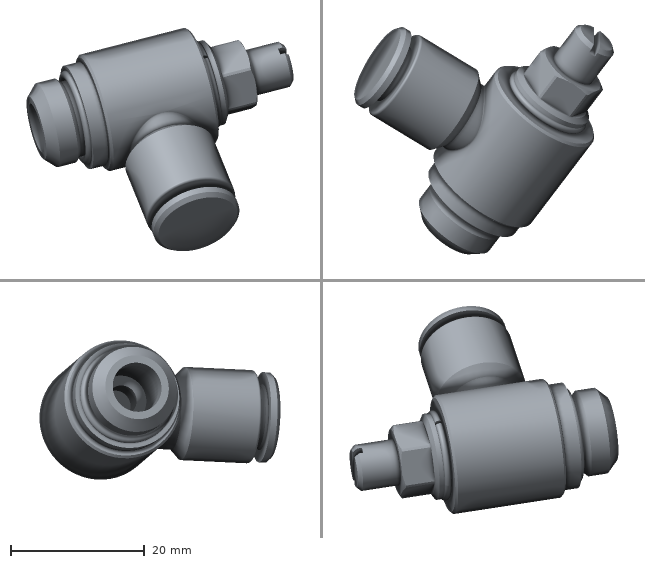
import cadquery as cq
import math


sleeve_radius = 18.0 / 2
sleeve_half_length = 8.5
sleeve_chamfer = 0.35

branch_neck_radius = 11.0 / 2
branch_radius = 14.0 / 2
branch_cone_start = 9.6
branch_cone_end = branch_cone_start + branch_radius - branch_neck_radius
branch_end = 21.65
branch_rim = 0.35
neck_root_fillet = 0.2

collet_neck_radius = 9.3 / 2
collet_cone_start = 22.8
collet_cone_length = 0.3
collet_flange_radius = 13.5 / 2
collet_flange_start = collet_cone_start + collet_cone_length
collet_end = 24.7
collet_chamfer = 0.6

thread_radius = 13.0 / 2
thread_neck_radius = 11.6 / 2
flange_radius = 16.0 / 2
step_radius = 15.65 / 2
shank_radius = 13.05 / 2
ring_groove_radius = 11.95 / 2

bolt_length = 39.5
bolt_bottom = -17.4
tip_chamfer = 1.62
thread_top = -12.92
thread_neck_bottom = thread_top - thread_neck_radius + thread_radius
flange_bottom = -11.02
flange_top = -8.7
collar_bottom = 9.68
hex_bottom = 11.0
hex_top = 15.75
stem_top = bolt_bottom + bolt_length

o_ring_outer_radius = 7.27
o_ring_thickness = o_ring_outer_radius - thread_neck_radius
o_ring_mean_radius = thread_neck_radius + o_ring_thickness / 2

snap_ring_outer_radius = 6.85
snap_ring_thickness = 1.15
snap_ring_mean_radius = snap_ring_outer_radius - snap_ring_thickness / 2
snap_ring_center = (sleeve_half_length + collar_bottom) / 2
snap_ring_gap = 0.55

hex_across_flats = 9.95
hex_corner_radius = 11.25 / 2
hex_top_chamfer = 0.35
collar_chamfer = 0.55

stem_radius = 7.0 / 2
stem_chamfer = 0.65
slot_width = 1.1
slot_depth = 1.35

bore_radius = 7.5 / 2
bore_depth = 9.88
inner_bore_radius = 4.5 / 2
inner_bore_depth = 3.95


def y_cylinder(radius, start, end):
    """Solid cylinder on the Y axis between two Y positions."""
    return cq.Workplane("XZ", origin=(0, end, 0)).circle(radius).extrude(end - start)


def y_ring(mean_radius, thickness, center):
    """Round-section ring about the Y axis."""
    section = cq.Workplane("XY").center(-mean_radius, center).circle(thickness / 2)
    return section.revolve(360, (mean_radius, 0, 0), (mean_radius, 1, 0))


def turned_about_y(points):
    """Solid of revolution from (radius, y) points."""
    return cq.Workplane("XY").polyline(points).close().revolve(360, (0, 0, 0), (0, 1, 0))


def turned_about_x(points):
    """Solid of revolution from (x, radius) points."""
    return cq.Workplane("XY").polyline(points).close().revolve(360, (0, 0, 0), (1, 0, 0))


def make_branch():
    """Necked branch with its rounded rim."""
    branch = turned_about_x([
        (0, 0),
        (0, branch_neck_radius),
        (branch_cone_start, branch_neck_radius),
        (branch_cone_end, branch_radius),
        (branch_end, branch_radius),
        (branch_end, 0),
    ])
    return branch.faces(">X").edges().fillet(branch_rim)


def make_collet():
    """Release collet standing out of the branch mouth."""
    return turned_about_x([
        (branch_end, 0),
        (branch_end, collet_neck_radius),
        (collet_cone_start, collet_neck_radius),
        (collet_flange_start, collet_neck_radius + collet_cone_length),
        (collet_flange_start, collet_flange_radius),
        (collet_end - collet_chamfer, collet_flange_radius),
        (collet_end, collet_flange_radius - collet_chamfer),
        (collet_end, 0),
    ])


def make_banjo():
    """Sleeve, branch and collet, bored through for the bolt shank."""
    sleeve = y_cylinder(sleeve_radius, -sleeve_half_length, sleeve_half_length)
    sleeve = sleeve.faces("<Y or >Y").edges().chamfer(sleeve_chamfer)
    banjo = sleeve.union(make_branch())
    reach = (branch_neck_radius + branch_radius) / 2
    neck_root = cq.selectors.BoxSelector(
        (0, -reach, -reach),
        ((sleeve_radius + branch_cone_start) / 2, reach, reach),
        boundingbox=True,
    )
    banjo = banjo.edges(neck_root).fillet(neck_root_fillet)
    banjo = banjo.union(make_collet())
    return banjo.cut(y_cylinder(shank_radius, -sleeve_half_length, sleeve_half_length))


def make_hexagon():
    """Hexagon with turned corners and a chamfered top, flats facing +Z and -Z."""
    height = hex_top - hex_bottom
    hexagon = (
        cq.Workplane("XZ", origin=(0, hex_top, 0))
        .polygon(6, hex_across_flats / math.cos(math.pi / 6))
        .extrude(height)
    )
    envelope = y_cylinder(hex_corner_radius, hex_bottom, hex_top)
    top_land_radius = hex_across_flats / 2
    envelope = envelope.faces(">Y").edges().chamfer(hex_top_chamfer, hex_corner_radius - top_land_radius)
    return hexagon.intersect(envelope)


def make_stem():
    """Adjusting stem with a screwdriver slot across its end."""
    stem = y_cylinder(stem_radius, hex_top, stem_top).faces(">Y").edges().chamfer(stem_chamfer)
    slot = cq.Workplane("XY").box(slot_width, 2 * slot_depth, 2 * stem_radius)
    return stem.cut(slot.translate((0, stem_top, 0)))


def make_snap_ring():
    """Snap ring with its gap facing +Z."""
    ring = y_ring(snap_ring_mean_radius, snap_ring_thickness, snap_ring_center)
    gap = cq.Workplane("XY").box(
        snap_ring_gap, 2 * snap_ring_thickness, snap_ring_outer_radius, centered=(True, True, False)
    )
    return ring.cut(gap.translate((0, snap_ring_center, 0)))


def make_bolt():
    """Hollow bolt with thread, flange, rings, collar, hexagon and stem."""
    bolt = turned_about_y([
        (0, bolt_bottom),
        (thread_radius - tip_chamfer, bolt_bottom),
        (thread_radius, bolt_bottom + tip_chamfer),
        (thread_radius, thread_top),
        (thread_neck_radius, thread_neck_bottom),
        (thread_neck_radius, flange_bottom),
        (flange_radius, flange_bottom),
        (flange_radius, flange_top),
        (step_radius, flange_top),
        (step_radius, -sleeve_half_length),
        (shank_radius, -sleeve_half_length),
        (shank_radius, sleeve_half_length),
        (ring_groove_radius, sleeve_half_length),
        (ring_groove_radius, collar_bottom),
        (shank_radius, collar_bottom),
        (shank_radius, hex_bottom - collar_chamfer),
        (hex_corner_radius, hex_bottom),
        (0, hex_bottom),
    ])
    o_ring = y_ring(o_ring_mean_radius, o_ring_thickness, flange_bottom)
    bolt = bolt.union(o_ring).union(make_snap_ring()).union(make_hexagon()).union(make_stem())
    bore_end = bolt_bottom + bore_depth
    bolt = bolt.cut(y_cylinder(bore_radius, bolt_bottom, bore_end))
    return bolt.cut(y_cylinder(inner_bore_radius, bore_end, bore_end + inner_bore_depth))


banjo = make_banjo()
bolt = make_bolt()
result = cq.Compound.makeCompound([banjo.solids().val(), bolt.solids().val()])